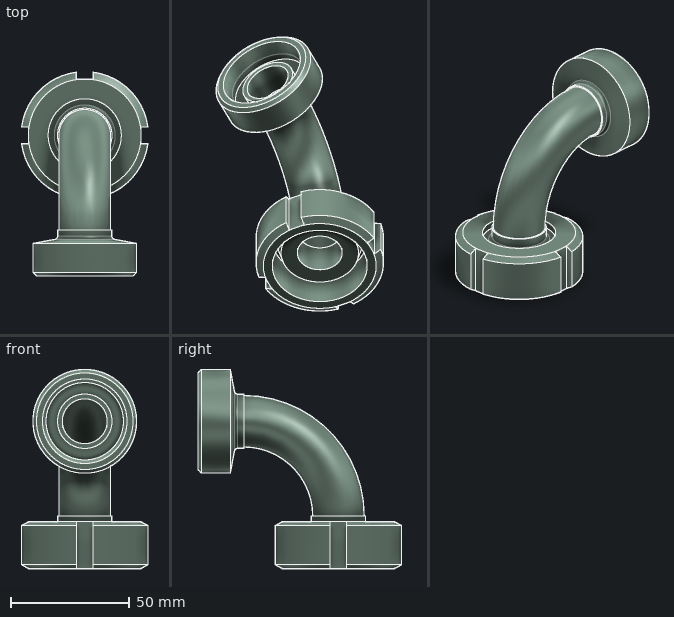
import cadquery as cq
import math

bore_dia = 19.0
tube_dia = 21.9
sleeve_dia = 23.0
bend_radius = 40.0
weld_z = 22.4
axis_z = weld_z + bend_radius
sleeve_fillet = 1.4

nut_dia = 54.0
nut_height = 20.0
nut_hole_dia = 31.0
nut_bore_dia = 40.2
nut_lip = 3.0
nut_chamfer_radial = 3.1
nut_chamfer_height = 1.7
slot_count = 4
slot_width = 7.0
slot_floor_radius = 23.8

union_dia = 44.0
union_length = 19.5
union_chamfer = 1.55
union_sleeve_length = 2.6
union_back_angle = 10.5
socket_mouth_dia = 35.8
socket_dia = 32.8
socket_cone_depth = 6.0
socket_depth = 9.2
liner_rim = 2.6


def make_elbow():
    """Tube bent through 90 degrees, from +Z towards -Y."""
    return (
        cq.Workplane("XY", origin=(0, 0, weld_z))
        .circle(tube_dia / 2)
        .circle(bore_dia / 2)
        .revolve(90, (-0.9, -bend_radius, 0), (0.9, -bend_radius, 0))
    )


def make_nut():
    """Union nut with chamfered rims, a retaining lip and wrench slots."""
    blank = (
        cq.Workplane("XZ")
        .moveTo(nut_bore_dia / 2, 0)
        .lineTo(nut_dia / 2 - nut_chamfer_radial, 0)
        .lineTo(nut_dia / 2, nut_chamfer_height)
        .lineTo(nut_dia / 2, nut_height - nut_chamfer_height)
        .lineTo(nut_dia / 2 - nut_chamfer_radial, nut_height)
        .lineTo(nut_hole_dia / 2, nut_height)
        .lineTo(nut_hole_dia / 2, nut_height - nut_lip)
        .lineTo(nut_bore_dia / 2, nut_height - nut_lip)
        .close()
        .revolve(360, (0, 0, 0), (0, 1, 0))
    )
    slots = (
        cq.Workplane("XY")
        .polarArray(slot_floor_radius + slot_width / 2, 0, 360, slot_count)
        .rect(slot_width, slot_width)
        .extrude(nut_height)
    )
    return blank.cut(slots)


def make_liner():
    """Liner whose flange hangs under the nut lip and tapers to fit a union socket."""
    flange_top = nut_height - nut_lip
    fillet_top = flange_top + sleeve_fillet
    fillet_foot_radius = sleeve_dia / 2 + sleeve_fillet
    return (
        cq.Workplane("XZ")
        .moveTo(bore_dia / 2, weld_z)
        .lineTo(sleeve_dia / 2, weld_z)
        .lineTo(sleeve_dia / 2, fillet_top)
        .radiusArc((fillet_foot_radius, flange_top), -sleeve_fillet)
        .lineTo(socket_mouth_dia / 2, flange_top)
        .lineTo(socket_mouth_dia / 2, flange_top - liner_rim)
        .lineTo(socket_dia / 2, flange_top - liner_rim - socket_cone_depth)
        .lineTo(bore_dia / 2, flange_top - liner_rim - socket_cone_depth)
        .close()
        .revolve(360, (0, 0, 0), (0, 1, 0))
    )


def make_union():
    """Male union on the outlet; the profile runs from the weld end to the open face."""
    slope = math.radians(union_back_angle)
    fillet_foot = union_sleeve_length + sleeve_fillet * math.cos(slope)
    fillet_foot_radius = sleeve_dia / 2 + sleeve_fillet * (1 - math.sin(slope))
    union_back = fillet_foot + (union_dia / 2 - fillet_foot_radius) * math.tan(slope)
    ring_face = union_length - socket_cone_depth
    return (
        cq.Workplane(cq.Plane((0, -bend_radius, axis_z), (1, 0, 0), (0, 0, -1)))
        .moveTo(bore_dia / 2, 0)
        .lineTo(sleeve_dia / 2, 0)
        .lineTo(sleeve_dia / 2, union_sleeve_length)
        .radiusArc((fillet_foot_radius, fillet_foot), sleeve_fillet)
        .lineTo(union_dia / 2, union_back)
        .lineTo(union_dia / 2, union_length - union_chamfer)
        .lineTo(union_dia / 2 - union_chamfer, union_length)
        .lineTo(socket_mouth_dia / 2, union_length)
        .lineTo(socket_dia / 2, ring_face)
        .lineTo(socket_dia / 2, union_length - socket_depth)
        .lineTo(sleeve_dia / 2, union_length - socket_depth)
        .lineTo(sleeve_dia / 2, ring_face)
        .lineTo(bore_dia / 2, ring_face)
        .close()
        .revolve(360, (0, 0, 0), (0, 1, 0))
    )


elbow = make_elbow()
nut = make_nut()
liner = make_liner()
male_union = make_union()

result = cq.Compound.makeCompound([elbow.val(), nut.val(), liner.val(), male_union.val()])